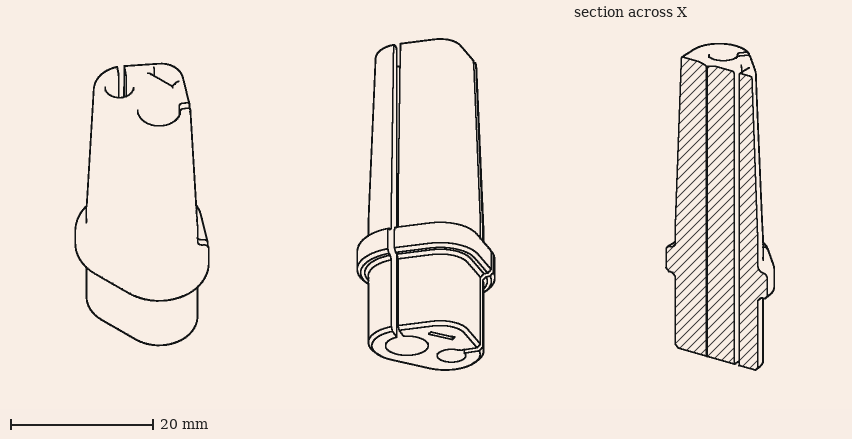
import cadquery as cq
import math

lower_corner_x = 3.0
lower_corner_radius = 5.42
upper_corner_y = 4.48
upper_corner_radius = 4.12

total_height = 45.5
flange_bottom = 11.5
flange_top = 15.5
taper_start = 19.5
taper_angle = 2.25

flange_overhang = 1.58
flange_upper_fillet = flange_overhang / 2
flange_lower_chamfer = 0.5
flange_lower_root = 0.5
lower_root_flare = -45.0
bottom_chamfer = 0.5
top_fillet = 0.35
mouth_fillet = 0.4

large_hole_x = lower_corner_x
large_hole_radius = 3.0
small_hole_x = -4.0
small_hole_radius = 2.0
slot_length = 3.7
slot_width = 0.75
slot_y = 4.95
slit_width = 1.0
slit_angle = 45.0
slit_reach = 12.0


def section(offset, z):
    """Rounded triangle grown outward by offset, on the plane at height z."""
    lower_radius = lower_corner_radius + offset
    upper_radius = upper_corner_radius + offset
    centre_distance = math.hypot(lower_corner_x, upper_corner_y)
    normal = math.acos((upper_radius - lower_radius) / centre_distance)
    normal -= math.atan2(upper_corner_y, lower_corner_x)
    nx = math.cos(normal)
    ny = math.sin(normal)
    lower_x = lower_corner_x + lower_radius * nx
    lower_y = lower_radius * ny
    upper_x = upper_radius * nx
    upper_y = upper_corner_y + upper_radius * ny
    mid = (normal - math.pi / 2) / 2
    mid_x = lower_corner_x + lower_radius * math.cos(mid)
    mid_y = lower_radius * math.sin(mid)
    return (
        cq.Workplane("XY", origin=(0, 0, z))
        .moveTo(-lower_corner_x, -lower_radius)
        .lineTo(lower_corner_x, -lower_radius)
        .threePointArc((mid_x, mid_y), (lower_x, lower_y))
        .lineTo(upper_x, upper_y)
        .threePointArc((0, upper_corner_y + upper_radius), (-upper_x, upper_y))
        .lineTo(-lower_x, lower_y)
        .threePointArc((-mid_x, mid_y), (-lower_corner_x, -lower_radius))
        .close()
    )


def make_lower_body():
    """Straight plug below the flange with a chamfered end."""
    body = section(0, 0).extrude(taper_start)
    return body.faces("<Z").edges().chamfer(bottom_chamfer)


def make_tapered_body():
    """Upper sleeve narrowing toward a rounded top edge."""
    body = section(0, taper_start).extrude(total_height - taper_start, taper=taper_angle)
    return body.faces(">Z").edges().fillet(top_fillet)


def make_flange():
    """Collar with a rounded upper edge and a chamfered lower edge."""
    flange = section(flange_overhang, flange_bottom).extrude(flange_top - flange_bottom)
    flange = flange.faces(">Z").edges().fillet(flange_upper_fillet)
    return flange.faces("<Z").edges().chamfer(flange_lower_chamfer)


def make_upper_root():
    """Concave fillet that carries the rounded flange edge up into the body."""
    foot = section(flange_overhang, flange_bottom).extrude(flange_top - flange_bottom)
    post = section(0, flange_top).extrude(taper_start - flange_top)
    joined = foot.union(post)
    ledge = joined.faces("|Z").faces(">Z[-2]").val()
    meeting_edges = ledge.innerWires()[0].Edges()
    filleted = joined.newObject(meeting_edges).fillet(flange_upper_fillet)
    return filleted.intersect(section(flange_upper_fillet, flange_top).extrude(flange_upper_fillet))


def make_lower_root():
    """45 degree flare joining the body to the flange's underside."""
    return section(0, flange_bottom - flange_lower_root).extrude(flange_lower_root, taper=lower_root_flare)


def make_hole(x, radius):
    """Round passage along the full height."""
    return cq.Workplane("XY").center(x, 0).circle(radius).extrude(total_height)


def make_slot():
    """Rectangular passage along the full height."""
    return cq.Workplane("XY").center(0, slot_y).rect(slot_length, slot_width).extrude(total_height)


def round_mouths(part):
    """Round over the top edges of every passage in the end face."""
    end_face = part.faces(">Z").val()
    mouth_edges = [edge for wire in end_face.innerWires() for edge in wire.Edges()]
    return part.newObject(mouth_edges).fillet(mouth_fillet)


def make_slit(side):
    """Full-height slanted cut opening a hole through the wall, on side +1 or -1 of X."""
    slit = cq.Workplane("XY").rect(slit_reach, slit_width).extrude(total_height)
    slit = slit.translate((slit_reach / 2, 0, 0))
    slit = slit.rotate((0, 0, 0), (0, 0, 1), slit_angle).translate((lower_corner_x, 0, 0))
    return slit if side > 0 else slit.mirror("YZ")


result = make_lower_body().union(make_tapered_body()).union(make_flange())
result = result.union(make_upper_root()).union(make_lower_root())
result = result.cut(make_hole(large_hole_x, large_hole_radius))
result = result.cut(make_hole(small_hole_x, small_hole_radius))
result = result.cut(make_slot())
result = round_mouths(result)
for side in (1, -1):
    result = result.cut(make_slit(side))